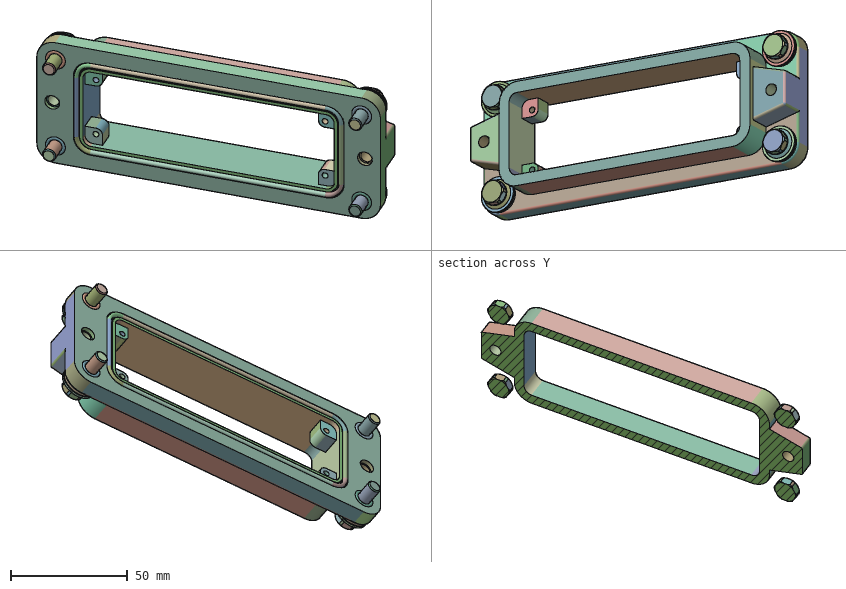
import cadquery as cq
import math


PLATE_LENGTH = 156.0
PLATE_HEIGHT = 60.0
PLATE_THICKNESS = 8.0
PLATE_CORNER_RADIUS = 8.5
PLATE_BACK_FILLET = 1.0

OPENING_LENGTH = 114.0
OPENING_HEIGHT = 37.0
OPENING_CORNER_RADIUS = 3.7
WALL_THICKNESS = 5.0
HOOD_BACK = 22.0

LIP_WIDTH = 1.5
GROOVE_WIDTH = 2.9
GROOVE_DEPTH = 1.0
BEAD_WIDTH = 2.0
BEAD_OUTER_GAP = 0.3
BEAD_HEIGHT = 0.9

LUG_INNER_X = 49.0
LUG_INNER_Z = 10.5
LUG_CORNER_RADIUS = 3.0
LUG_FRONT = 2.5
LUG_DEPTH = 8.5
LUG_ROOT = 1.0
LUG_HOLE_DIAMETER = 2.6
LUG_HOLE_X = 52.0
LUG_HOLE_Z = 13.5

PAD_BACK = 19.4
PAD_OUTER_HALF_WIDTH = 7.75
PAD_INNER_HALF_WIDTH = 12.1
PAD_EDGE_FILLET = 1.0
PAD_HOLE_X = 71.0
PAD_HOLE_DIAMETER = 5.2
PAD_COUNTERBORE_DIAMETER = 6.6
PAD_COUNTERBORE_DEPTH = 2.0

SCREW_X = PLATE_LENGTH / 2 - PLATE_CORNER_RADIUS
SCREW_Z = PLATE_HEIGHT / 2 - PLATE_CORNER_RADIUS
SCREW_RADIUS = 3.0
SCREW_TIP = -8.67
SCREW_TIP_CHAMFER = 0.5
BOSS_RADIUS = PLATE_CORNER_RADIUS - PLATE_BACK_FILLET
WASHER_SEAT = 9.5
WASHER_THICKNESS = 1.0
WASHER_RADIUS = 7.9
COLLAR_BASE_RADIUS = 6.6
COLLAR_TOP_RADIUS = 5.2
COLLAR_HEIGHT = 0.9
HEAD_BACK = 15.25
HEAD_ACROSS_FLATS = 10.0
HEAD_CORNER_RADIUS = 5.45
HEAD_CHAMFER = 0.6
RING_RADIUS = 4.5
RING_HEIGHT = 0.4

HOOD_LENGTH = OPENING_LENGTH + 2 * WALL_THICKNESS
QUADRANTS = [(sx, sz) for sx in (-1, 1) for sz in (-1, 1)]


def plane_at(y):
    """Sketch plane at depth y whose normal points toward +Y (its local x runs along -X)."""
    return cq.Workplane(cq.Plane((0, y, 0), (-1, 0, 0), (0, 1, 0)))


def rounded_block(length, height, radius, front, back):
    """Rectangular block with rounded corners between two depths."""
    block = plane_at(front).rect(length, height).extrude(back - front)
    return block.edges("|Y").fillet(radius)


def around_opening(margin, front, back):
    """Block following the opening outline, grown outward by a margin."""
    return rounded_block(
        OPENING_LENGTH + 2 * margin,
        OPENING_HEIGHT + 2 * margin,
        OPENING_CORNER_RADIUS + margin,
        front,
        back,
    )


def cylinder(x, z, radius, front, back):
    return plane_at(front).center(-x, z).circle(radius).extrude(back - front)


def make_plate():
    plate = rounded_block(PLATE_LENGTH, PLATE_HEIGHT, PLATE_CORNER_RADIUS, 0, PLATE_THICKNESS)
    return plate.faces(">Y").edges().fillet(PLATE_BACK_FILLET)


def make_pad(side):
    """End pad, widening from the plate end toward the hood wall."""
    outer_x = side * PLATE_LENGTH / 2
    inner_x = side * (HOOD_LENGTH / 2 - WALL_THICKNESS / 2)
    hood_x = side * HOOD_LENGTH / 2
    outline = [
        (-inner_x, -PAD_INNER_HALF_WIDTH),
        (-hood_x, -PAD_INNER_HALF_WIDTH),
        (-outer_x, -PAD_OUTER_HALF_WIDTH),
        (-outer_x, PAD_OUTER_HALF_WIDTH),
        (-hood_x, PAD_INNER_HALF_WIDTH),
        (-inner_x, PAD_INNER_HALF_WIDTH),
    ]
    pad = plane_at(0).polyline(outline).close().extrude(PAD_BACK)
    end = ">X" if side > 0 else "<X"
    root = "<X" if side > 0 else ">X"
    rounded = pad.edges(f"(>Y or ({end} and |Y)) exc {root}")
    return rounded.fillet(PAD_EDGE_FILLET)


def cut_pad_hole(body, side):
    """Through hole of an end pad, counterbored from the mounting face."""
    x = side * PAD_HOLE_X
    body = body.cut(cylinder(x, 0, PAD_HOLE_DIAMETER / 2, 0, PAD_BACK))
    return body.cut(cylinder(x, 0, PAD_COUNTERBORE_DIAMETER / 2, 0, PAD_COUNTERBORE_DEPTH))


def make_lug(sx, sz):
    """Drilled lug in one corner of the opening, rooted in the hood wall."""
    length = OPENING_LENGTH / 2 + LUG_ROOT - LUG_INNER_X
    height = OPENING_HEIGHT / 2 + LUG_ROOT - LUG_INNER_Z
    lug = (
        plane_at(LUG_FRONT)
        .center(-sx * (LUG_INNER_X + length / 2), sz * (LUG_INNER_Z + height / 2))
        .rect(length, height)
        .extrude(LUG_DEPTH)
    )
    free_edge = cq.selectors.NearestToPointSelector(
        (sx * LUG_INNER_X, LUG_FRONT + LUG_DEPTH / 2, sz * LUG_INNER_Z)
    )
    lug = lug.edges("|Y").edges(free_edge).fillet(LUG_CORNER_RADIUS)
    hole = cylinder(
        sx * LUG_HOLE_X, sz * LUG_HOLE_Z, LUG_HOLE_DIAMETER / 2, LUG_FRONT, LUG_FRONT + LUG_DEPTH
    )
    return lug.cut(hole)


def make_bead():
    """Round-topped sealing bead, its section swept once around the opening."""
    middle = LIP_WIDTH + GROOVE_WIDTH - BEAD_OUTER_GAP - BEAD_WIDTH / 2
    path = around_opening(middle, 0, GROOVE_DEPTH).faces("<Y").wires().val()
    start_z = OPENING_HEIGHT / 2 + middle
    section = (
        cq.Workplane("YZ")
        .moveTo(GROOVE_DEPTH, start_z - BEAD_WIDTH / 2)
        .lineTo(0, start_z - BEAD_WIDTH / 2)
        .threePointArc((-BEAD_HEIGHT, start_z), (0, start_z + BEAD_WIDTH / 2))
        .lineTo(GROOVE_DEPTH, start_z + BEAD_WIDTH / 2)
        .close()
    )
    return section.sweep(cq.Workplane(path), isFrenet=True)


def cut_groove(body):
    """Groove that holds the bead, leaving a narrow lip along the opening edge."""
    outer = around_opening(LIP_WIDTH + GROOVE_WIDTH, 0, GROOVE_DEPTH)
    return body.cut(outer.cut(around_opening(LIP_WIDTH, 0, GROOVE_DEPTH)))


def make_screw_turning():
    """Shank, retaining ring, boss, washer and collar as one revolved profile about Y."""
    washer_back = WASHER_SEAT + WASHER_THICKNESS
    collar_back = washer_back + COLLAR_HEIGHT
    ring_middle = (SCREW_RADIUS + RING_RADIUS) / 2
    return (
        cq.Workplane("XY")
        .moveTo(0, SCREW_TIP)
        .lineTo(SCREW_RADIUS - SCREW_TIP_CHAMFER, SCREW_TIP)
        .lineTo(SCREW_RADIUS, SCREW_TIP + SCREW_TIP_CHAMFER)
        .lineTo(SCREW_RADIUS, 0)
        .threePointArc((ring_middle, -RING_HEIGHT), (RING_RADIUS, 0))
        .lineTo(RING_RADIUS, PLATE_THICKNESS / 2)
        .lineTo(BOSS_RADIUS, PLATE_THICKNESS / 2)
        .lineTo(BOSS_RADIUS, WASHER_SEAT)
        .lineTo(WASHER_RADIUS, WASHER_SEAT)
        .lineTo(WASHER_RADIUS, washer_back)
        .lineTo(COLLAR_BASE_RADIUS, washer_back)
        .lineTo(COLLAR_TOP_RADIUS, collar_back)
        .lineTo(0, collar_back)
        .close()
        .revolve(360, (0, 0, 0), (0, 1, 0))
    )


def make_screw_head():
    """Hexagon head with its corners turned down and both rims chamfered."""
    front = WASHER_SEAT + WASHER_THICKNESS + COLLAR_HEIGHT
    across_corners = HEAD_ACROSS_FLATS / math.cos(math.pi / 6)
    hexagon = plane_at(front).polygon(6, across_corners).extrude(HEAD_BACK - front)
    turned = cylinder(0, 0, HEAD_CORNER_RADIUS, front, HEAD_BACK)
    return hexagon.intersect(turned.edges("%CIRCLE").chamfer(HEAD_CHAMFER))


def build():
    body = make_plate().union(around_opening(WALL_THICKNESS, 0, HOOD_BACK))
    for side in (-1, 1):
        body = body.union(make_pad(side))
        body = cut_pad_hole(body, side)
    body = body.cut(around_opening(0, 0, HOOD_BACK))
    body = cut_groove(body).union(make_bead())
    screw = make_screw_turning().union(make_screw_head())
    for sx, sz in QUADRANTS:
        body = body.union(make_lug(sx, sz))
        body = body.union(screw.translate((sx * SCREW_X, 0, sz * SCREW_Z)))
    return body


result = build()